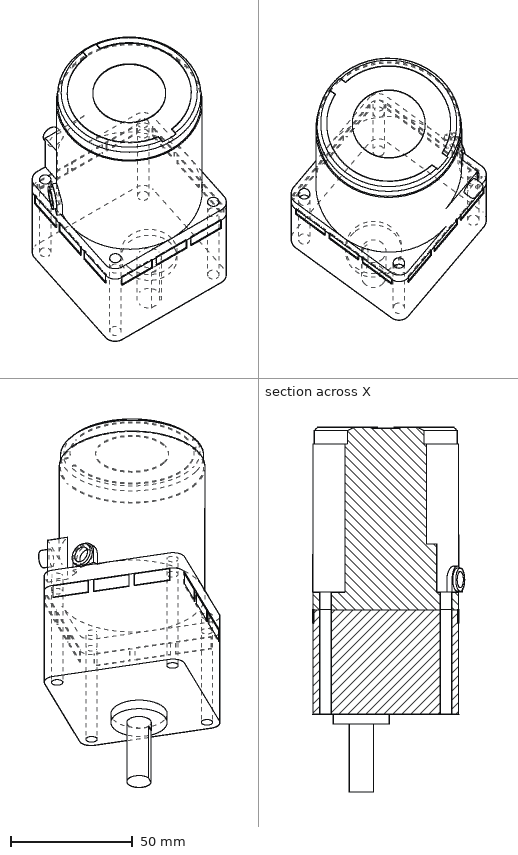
import cadquery as cq
import math

side = 60.0
corner_radius = 5.0
hole_offset = 24.8
hole_diameter = 4.6

boss_bottom = 27.9
gearbox_bottom = 32.0
gearbox_top = 75.0
flange_top = 82.2
cap_bottom = 143.1
motor_top = 150.0

shaft_offset = 10.0
shaft_diameter = 10.0
shaft_flat_depth = 0.5
shaft_flat_top = 24.3
boss_diameter = 23.1
panels_per_side = 3
panel_gap = 2.2
panel_height = 5.5
panel_depth = 0.5

can_diameter = side
cap_diameter = 59.0
cap_chamfer = 1.5
cap_recess_diameter = 51.0
cap_recess_depth = 0.5
cap_slot_width = 6.8
label_diameter = 30.0
label_depth = 0.5

block_length = 21.0
block_top = 102.0
screw_diameter = 7.4
screw_length = 5.0
screw_fillet = 1.2
screw_dome_height = 0.3
screw_y = -15.6
screw_z = 96.6

outlet_angle = 22.5
outlet_z = 87.3
pad_radius = 5.5
pad_face = 31.8
collar_radius = 4.8
collar_face = 33.2
outlet_bore_radius = 3.3
outlet_bore_depth = 3.2


def square_block(bottom, top):
    """Square block with rounded upright edges and four mounting holes."""
    return (
        cq.Workplane("XY")
        .workplane(offset=bottom)
        .rect(side, side)
        .extrude(top - bottom)
        .edges("|Z")
        .fillet(corner_radius)
        .faces(">Z")
        .workplane()
        .rect(2 * hole_offset, 2 * hole_offset, forConstruction=True)
        .vertices()
        .hole(hole_diameter)
    )


def cylinder(diameter, bottom, top, y=0.0):
    """Upright cylinder between two heights."""
    return (
        cq.Workplane("XY")
        .workplane(offset=bottom)
        .center(0, y)
        .circle(diameter / 2)
        .extrude(top - bottom)
    )


def side_panels():
    """Shallow panels along the upper edge of the -Y side, as cutters."""
    flat_width = side - 2 * corner_radius
    panel_width = (flat_width - (panels_per_side - 1) * panel_gap) / panels_per_side
    return (
        cq.Workplane("XY")
        .workplane(offset=gearbox_top - panel_height / 2)
        .center(0, (panel_depth - side) / 2)
        .rarray(panel_width + panel_gap, 1.5, panels_per_side, 1)
        .box(panel_width, panel_depth, panel_height)
    )


def output_shaft():
    """Output shaft with a flat on its +X side."""
    radius = shaft_diameter / 2
    shaft = cylinder(shaft_diameter, 0, boss_bottom, shaft_offset)
    flat = (
        cq.Workplane("XY")
        .center(radius - shaft_flat_depth / 2, shaft_offset)
        .rect(shaft_flat_depth, shaft_diameter)
        .extrude(shaft_flat_top)
    )
    return shaft.cut(flat)


def make_gearbox():
    """Gearbox housing with its boss and output shaft."""
    body = square_block(gearbox_bottom, gearbox_top)
    for turn in range(4):
        body = body.cut(side_panels().rotate((0, 0, 0), (0, 0, 1), 90 * turn))
    body = body.union(cylinder(boss_diameter, boss_bottom, gearbox_bottom, shaft_offset))
    return body.union(output_shaft())


def end_cap():
    """Chamfered cap with a round recess, a cross slot and a label pocket."""
    recess_floor = motor_top - cap_recess_depth
    cap = cylinder(cap_diameter, cap_bottom, motor_top).faces(">Z").chamfer(cap_chamfer)
    cap = cap.cut(cylinder(cap_recess_diameter, recess_floor, motor_top))
    slot = (
        cq.Workplane("XY")
        .workplane(offset=recess_floor)
        .rect(cap_diameter, cap_slot_width)
        .extrude(cap_recess_depth)
    )
    return cap.cut(slot).cut(cylinder(label_diameter, recess_floor - label_depth, recess_floor))


def terminal_block():
    """Block that squares off the can on its -X side."""
    return (
        cq.Workplane("XY")
        .workplane(offset=flange_top)
        .center(-side / 4, -block_length / 2)
        .rect(side / 2, block_length)
        .extrude(block_top - flange_top)
    )


def terminal_screw():
    """Round stud with a filleted rim and a domed end, pointing along -X."""
    radius = screw_diameter / 2
    rim_length = screw_length - screw_dome_height
    dome_radius = radius - screw_fillet
    bend = screw_fillet * math.sqrt(0.5)
    dome_sphere = (dome_radius**2 + screw_dome_height**2) / (2 * screw_dome_height)
    half_radius = dome_radius / 2
    half_sag = dome_sphere - math.sqrt(dome_sphere**2 - half_radius**2)
    return (
        cq.Workplane("XY")
        .lineTo(-radius, 0)
        .lineTo(-radius, rim_length - screw_fillet)
        .threePointArc(
            (-dome_radius - bend, rim_length - screw_fillet + bend),
            (-dome_radius, rim_length),
        )
        .threePointArc((-half_radius, screw_length - half_sag), (0, screw_length))
        .close()
        .revolve(360, (0, 0), (0, 1))
        .rotate((0, 0, 0), (0, 0, 1), 90)
        .translate((-side / 2, screw_y, screw_z))
    )


def turned_to_outlet(shape):
    """Turn a shape built on the -Y side to the angle of the cable outlet."""
    return shape.rotate((0, 0, 0), (0, 0, 1), -outlet_angle)


def outlet_body():
    """Arched pad that stands on the flange, with a round collar on its face."""
    foot = flange_top - outlet_z
    pad = (
        cq.Workplane("XZ", origin=(0, 0, outlet_z))
        .moveTo(-pad_radius, foot)
        .lineTo(pad_radius, foot)
        .lineTo(pad_radius, 0)
        .threePointArc((0, pad_radius), (-pad_radius, 0))
        .close()
        .extrude(pad_face)
    )
    collar = cq.Workplane("XZ", origin=(0, 0, outlet_z)).circle(collar_radius).extrude(collar_face)
    return turned_to_outlet(pad.union(collar))


def outlet_bore():
    """Blind bore in the collar, as a cutter."""
    bore = (
        cq.Workplane("XZ", origin=(0, outlet_bore_depth - collar_face, outlet_z))
        .circle(outlet_bore_radius)
        .extrude(outlet_bore_depth)
    )
    return turned_to_outlet(bore)


def make_motor():
    """Motor with its flange, can, end cap, terminal block and cable outlet."""
    body = square_block(gearbox_top, flange_top)
    body = body.union(cylinder(can_diameter, flange_top, cap_bottom))
    body = body.union(end_cap())
    body = body.union(terminal_block())
    body = body.union(terminal_screw())
    return body.union(outlet_body()).cut(outlet_bore())


gearbox = make_gearbox()
motor = make_motor()

result = cq.Compound.makeCompound([gearbox.val(), motor.val()])